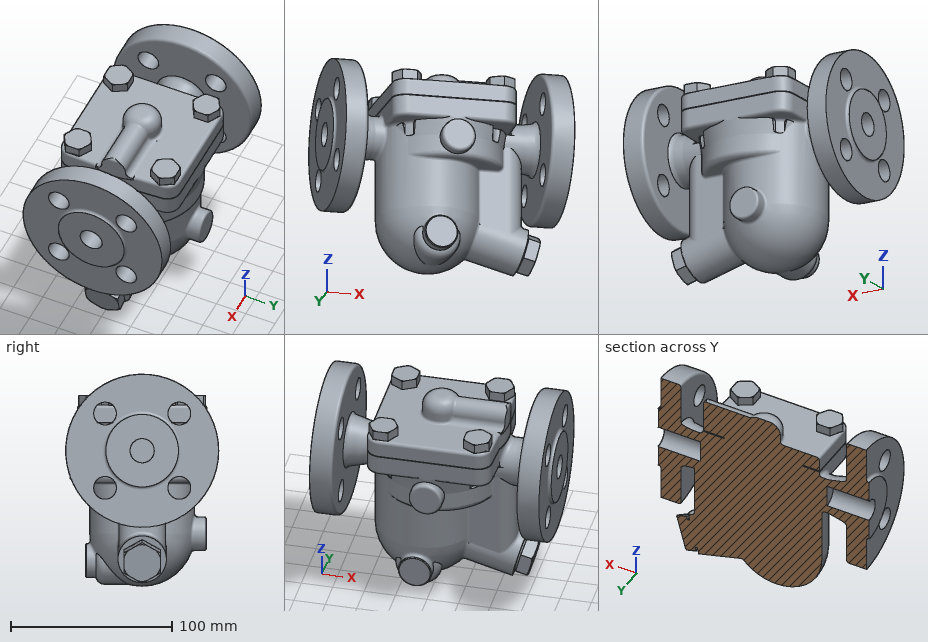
import cadquery as cq
import math


overall_length = 150.0
flange_diameter = 95.0
flange_thickness = 14.4
flange_edge_fillet = 2.1
raised_face_height = 2.0
raised_face_diameter = 45.0
bore_diameter = 15.0
bore_depth = 30.0
bolt_hole_diameter = 14.1
bolt_circle_diameter = 65.1
inlet_neck_diameter = 27.0
outlet_neck_diameter = 30.0
neck_wide_diameter = 31.8
neck_flare_length = 3.0
neck_flare = 1.8
inlet_taper_length = 9.9
outlet_taper_length = 6.2
neck_body_fillet = 2.0
lug_neck_fillet = 3.0

face_x = overall_length / 2
flange_outer_x = face_x - raised_face_height
flange_inner_x = flange_outer_x - flange_thickness

bowl_x = -9.0
bowl_radius = 32.5
bowl_z = -51.5

cover_left = -39.8
cover_half_width = 40.2
cover_corner_x = 39.0
cover_corner_radius = 9.0
cover_edge_fillet = 2.1
lug_radius = 42.9
lug_half_width = 15.0
cover_top = 28.2
cover_bottom = 17.5
gasket_thickness = 0.5
gasket_diameter = 56.5
body_flange_top = cover_bottom - gasket_thickness
body_flange_bottom = 3.9

bolt_spacing = 60.0
head_flats = 16.2
head_height = 6.2
head_chamfer = 0.8
tapped_diameter = 10.0
tapped_bottom = -4.5
drill_tip_angle = 120.0
relief_offset = 35.2
relief_radius = 11.1

dome_radius = 12.0
dome_rounding = 8.0
dome_top = 42.9
dome_base_fillet = 2.0
channel_radius = 8.1
channel_top = 41.0
channel_end_fillet = 2.1
channel_dome_fillet = 2.0

ring_radius = 38.5
ring_bottom = -20.0
ring_edge_fillet = 3.5
ring_top = -6.2
ring_seam_fillet = 1.5
skirt_top_radius = 40.5
skirt_top = body_flange_bottom + cover_edge_fillet

column_right = 49.5
column_half_width = 14.4
column_corner_radius = 10.2
casting_seam_fillet = 2.0
strainer_tilt = 15.0
strainer_radius = 15.0
strainer_length = 61.2
plug_gap = 1.2
plug_gap_radius = 10.5
plug_hex_corners = 26.0
plug_hex_length = 7.8
plug_hex_chamfer = 1.2

plug_diameter = 21.0
upper_plug_z = -7.6
upper_plug_y = -44.8
upper_plug_fillet = 1.8
rear_plug_y = 39.8
rear_plug_fillet = 1.5
plug_seam_fillet = 1.8
drain_z = -68.1
drain_boss_diameter = 29.4
drain_boss_y = -28.8
drain_boss_rounding = 5.5
drain_plug_y = -35.1
drain_edge_chamfer = 0.6


def cylinder_z(diameter, z_low, z_high, x=0.0, y=0.0):
    return cq.Workplane("XY", origin=(x, y, z_low)).circle(diameter / 2).extrude(z_high - z_low)


def cylinder_y(diameter, y_low, y_high, x, z):
    """Cylinder along Y between y_low and y_high."""
    return cq.Workplane("XZ", origin=(x, y_high, z)).circle(diameter / 2).extrude(y_high - y_low)


def seam_fillet(shape, low_corner, high_corner, radius):
    """Round the edges of the shape whose centres lie in the box between two corners."""
    return shape.edges(cq.selectors.BoxSelector(low_corner, high_corner)).fillet(radius)


def bar_x(diameter, x_low, x_high):
    return cq.Workplane("YZ", origin=(x_low, 0, 0)).circle(diameter / 2).extrude(x_high - x_low)


def end_flange(neck_diameter, taper_length):
    """Flange with raised face and neck on the +X side, revolved about the X axis."""
    neck_radius = neck_diameter / 2
    wide_radius = neck_wide_diameter / 2
    flange_radius = flange_diameter / 2
    face_radius = raised_face_diameter / 2
    flare_x = flange_inner_x - neck_flare_length
    fillet_mid = raised_face_height * (1 - math.sqrt(0.5))
    flange = (
        cq.Workplane("XY")
        .moveTo(0, 0)
        .lineTo(0, neck_radius)
        .lineTo(flare_x - taper_length, neck_radius)
        .lineTo(flare_x, wide_radius)
        .threePointArc(
            (flange_inner_x - neck_flare_length * 0.35, wide_radius + neck_flare * 0.45),
            (flange_inner_x, wide_radius + neck_flare),
        )
        .lineTo(flange_inner_x, flange_radius - flange_edge_fillet)
        .radiusArc((flange_inner_x + flange_edge_fillet, flange_radius), flange_edge_fillet)
        .lineTo(flange_outer_x, flange_radius)
        .lineTo(flange_outer_x, face_radius + raised_face_height)
        .threePointArc((flange_outer_x + fillet_mid, face_radius + fillet_mid), (face_x, face_radius))
        .lineTo(face_x, 0)
        .close()
        .revolve(360, (0, 0, 0), (1, 0, 0))
    )
    hole_offset = bolt_circle_diameter / 2 * math.sqrt(0.5)
    holes = (
        cq.Workplane("YZ", origin=(flange_inner_x, 0, 0))
        .rect(2 * hole_offset, 2 * hole_offset, forConstruction=True)
        .vertices()
        .circle(bolt_hole_diameter / 2)
        .extrude(flange_thickness)
    )
    return flange.cut(holes)


def cover_plate(z_low, z_high):
    """Square plate with rounded corners and a bulging lug on the outlet side."""
    plate = (
        cq.Workplane("XY", origin=(0, 0, z_low))
        .moveTo(cover_left, -cover_half_width)
        .lineTo(cover_corner_x, -cover_half_width)
        .lineTo(math.sqrt(lug_radius**2 - lug_half_width**2), -lug_half_width)
        .threePointArc((lug_radius, 0), (math.sqrt(lug_radius**2 - lug_half_width**2), lug_half_width))
        .lineTo(cover_corner_x, cover_half_width)
        .lineTo(cover_left, cover_half_width)
        .close()
        .extrude(z_high - z_low)
    )
    return plate.edges("|Z").edges("<Y or >Y").fillet(cover_corner_radius)


def bolt_head(x, y, turn):
    corners = head_flats / math.cos(math.pi / 6)
    head = cq.Workplane("XY").polygon(6, corners).extrude(head_height)
    chamfer_cone = cylinder_z(corners, 0, head_height).faces(">Z").chamfer(head_chamfer / 2, head_chamfer)
    return head.intersect(chamfer_cone).rotate((0, 0, 0), (0, 0, 1), turn).translate((x, y, cover_top))


def dome():
    base_z = cover_top - 1.5
    return (
        cq.Workplane("XZ")
        .moveTo(0, base_z)
        .lineTo(dome_radius + dome_base_fillet, base_z)
        .lineTo(dome_radius + dome_base_fillet, cover_top)
        .radiusArc((dome_radius, cover_top + dome_base_fillet), dome_base_fillet)
        .lineTo(dome_radius, dome_top - dome_rounding)
        .radiusArc((dome_radius - dome_rounding, dome_top), -dome_rounding)
        .lineTo(0, dome_top)
        .close()
        .revolve(360, (0, 0, 0), (0, 1, 0))
    )


def outlet_channel():
    """Round-topped channel from the dome to the lug, flared onto the cover."""
    axis_z = channel_top - channel_radius
    flare = axis_z - cover_top
    base_z = cover_top - 1.5
    outer = channel_radius + flare
    channel = (
        cq.Workplane("YZ")
        .moveTo(-outer, base_z)
        .lineTo(-outer, cover_top)
        .radiusArc((-channel_radius, axis_z), -flare)
        .threePointArc((0, channel_top), (channel_radius, axis_z))
        .radiusArc((outer, cover_top), -flare)
        .lineTo(outer, base_z)
        .close()
        .extrude(lug_radius + 1.5)
    )
    end_shape = cylinder_z(2 * lug_radius, base_z, channel_top).faces(">Z").edges().fillet(channel_end_fillet)
    return channel.intersect(end_shape)


def bowl():
    ball = cq.Workplane("XY").sphere(bowl_radius).translate((bowl_x, 0, bowl_z))
    return ball.union(cylinder_z(2 * bowl_radius, bowl_z, body_flange_bottom + 1.5, bowl_x))


def ring():
    """Ring and conical skirt below the body flange, opened by the tapped holes."""
    band = cylinder_z(2 * ring_radius, ring_bottom, ring_top).faces("<Z").edges().fillet(ring_edge_fillet)
    skirt = (
        cq.Workplane("XY", origin=(0, 0, ring_top))
        .circle(ring_radius)
        .workplane(offset=skirt_top - ring_top)
        .circle(skirt_top_radius)
        .loft(ruled=True)
    )
    limits = cover_plate(ring_top, skirt_top)
    ring_body = band.union(skirt.intersect(limits))
    drill_tip = tapped_diameter / 2 / math.tan(math.radians(drill_tip_angle / 2))
    drill = (
        cq.Workplane("XZ")
        .moveTo(0, tapped_bottom - drill_tip)
        .lineTo(tapped_diameter / 2, tapped_bottom)
        .lineTo(tapped_diameter / 2, body_flange_bottom)
        .lineTo(0, body_flange_bottom)
        .close()
        .revolve(360, (0, 0, 0), (0, 1, 0))
    )
    for side_x in (-1, 1):
        for side_y in (-1, 1):
            relief = cylinder_z(
                2 * relief_radius, ring_top, skirt_top, side_x * relief_offset, side_y * relief_offset
            )
            ring_body = ring_body.cut(relief)
            ring_body = ring_body.cut(drill.translate((side_x * bolt_spacing / 2, side_y * bolt_spacing / 2, 0)))
    return ring_body


def outlet_column():
    """Vertical passage between the strainer and the outlet neck."""
    drop = (column_right - bowl_x) * math.tan(math.radians(strainer_tilt))
    return (
        cq.Workplane("XZ", origin=(0, column_half_width, 0))
        .polyline([(bowl_x, 0), (column_right, 0), (column_right, bowl_z - drop), (bowl_x, bowl_z)])
        .close()
        .extrude(2 * column_half_width)
        .edges("|Z and >X")
        .fillet(column_corner_radius)
    )


def strainer():
    """Inclined tube out of the ball, closed by a hexagonal plug."""
    hex_start = strainer_length + plug_gap
    hex_end = hex_start + plug_hex_length
    tube = cylinder_z(2 * strainer_radius, 0, strainer_length)
    gap = cylinder_z(2 * plug_gap_radius, strainer_length - 1.5, hex_start)
    hexagon = cq.Workplane("XY", origin=(0, 0, hex_start)).polygon(6, plug_hex_corners).extrude(plug_hex_length)
    rounding = (
        cylinder_z(plug_hex_corners, hex_start, hex_end).faces(">Z").chamfer(plug_hex_chamfer / 2, plug_hex_chamfer)
    )
    plug = hexagon.intersect(rounding)
    return (
        tube.union(gap)
        .union(plug)
        .rotate((0, 0, 0), (0, 1, 0), 90 + strainer_tilt)
        .translate((bowl_x, 0, bowl_z))
    )


def upper_plug():
    plug = cylinder_y(plug_diameter, upper_plug_y, 0, 0, upper_plug_z)
    return plug.faces("<Y").edges().fillet(upper_plug_fillet)


def rear_plug():
    plug = cylinder_y(plug_diameter, 0, rear_plug_y, bowl_x, bowl_z)
    return plug.faces(">Y").edges().fillet(rear_plug_fillet)


def drain_boss():
    boss = cylinder_y(drain_boss_diameter, drain_boss_y, 0, bowl_x, drain_z)
    return boss.faces("<Y").edges().fillet(drain_boss_rounding)


def drain_plug():
    plug = cylinder_y(plug_diameter, drain_plug_y, 0, bowl_x, drain_z)
    return plug.faces("<Y").edges().chamfer(drain_edge_chamfer)


def lug_to_neck():
    """Rounded foot of the lug on the upper half of the outlet neck."""
    reach = lug_radius + lug_neck_fillet
    neck = bar_x(outlet_neck_diameter, 0, column_right)
    lug = cylinder_z(2 * lug_radius, -lug_radius, lug_radius)
    foot = seam_fillet(
        neck.union(lug),
        (bolt_spacing / 2, -outlet_neck_diameter, -outlet_neck_diameter),
        (reach, outlet_neck_diameter, outlet_neck_diameter),
        lug_neck_fillet,
    )
    lug_height = body_flange_top - body_flange_bottom
    limits = cq.Workplane("XY", origin=(bolt_spacing / 2, 0, body_flange_bottom)).box(
        reach - bolt_spacing / 2, 2 * lug_half_width, lug_height, centered=(False, True, False)
    )
    return foot.intersect(limits)


body_flange = cover_plate(body_flange_bottom, body_flange_top).faces("<Z").edges().fillet(cover_edge_fillet)
inlet_end = end_flange(inlet_neck_diameter, inlet_taper_length).mirror("YZ")
result = seam_fillet(
    bowl().union(body_flange).union(inlet_end),
    (bowl_x - bowl_radius - 1.5, -lug_half_width, -lug_half_width),
    (cover_left + 1.5, lug_half_width, lug_half_width),
    neck_body_fillet,
)
result = seam_fillet(
    result.union(outlet_column()).union(strainer()),
    (bowl_x + strainer_radius, -bowl_radius, bowl_z - bowl_radius),
    (column_right - 3, bowl_radius, -1.5),
    casting_seam_fillet,
)
result = seam_fillet(
    result.union(ring()),
    (bowl_x - bowl_radius, -ring_radius + column_corner_radius, ring_bottom - 0.2),
    (column_right, ring_radius - column_corner_radius, ring_bottom + 0.2),
    ring_seam_fillet,
)
result = seam_fillet(
    result.union(rear_plug()),
    (bowl_x - plug_diameter, bowl_radius / 2, bowl_z - plug_diameter),
    (bowl_x + plug_diameter, rear_plug_y - 3, bowl_z + plug_diameter),
    plug_seam_fillet,
)
result = seam_fillet(
    result.union(drain_plug()),
    (bowl_x - plug_diameter, drain_plug_y + 3, drain_z - plug_diameter),
    (bowl_x + plug_diameter, -1.5, drain_z + plug_diameter),
    plug_seam_fillet,
)
result = result.union(drain_boss()).union(upper_plug())

result = result.union(end_flange(outlet_neck_diameter, outlet_taper_length)).union(lug_to_neck())

gasket = cylinder_z(gasket_diameter, body_flange_top - 1.5, cover_bottom + 1.5)
cover = cover_plate(cover_bottom, cover_top).faces(">Z").edges().fillet(cover_edge_fillet)
cover = seam_fillet(
    cover.union(dome()).union(outlet_channel()),
    (1.5, -dome_radius - 1.5, cover_top + 0.3),
    (dome_radius + 1.5, dome_radius + 1.5, dome_top + 0.2),
    channel_dome_fillet,
)
result = result.union(gasket).union(cover)

half_spacing = bolt_spacing / 2
for x in (-half_spacing, half_spacing):
    for y in (-half_spacing, half_spacing):
        turn = 0 if x * y > 0 else 30
        result = result.union(bolt_head(x, y, turn))

for start_x in (-face_x, face_x - bore_depth):
    result = result.cut(bar_x(bore_diameter, start_x, start_x + bore_depth))